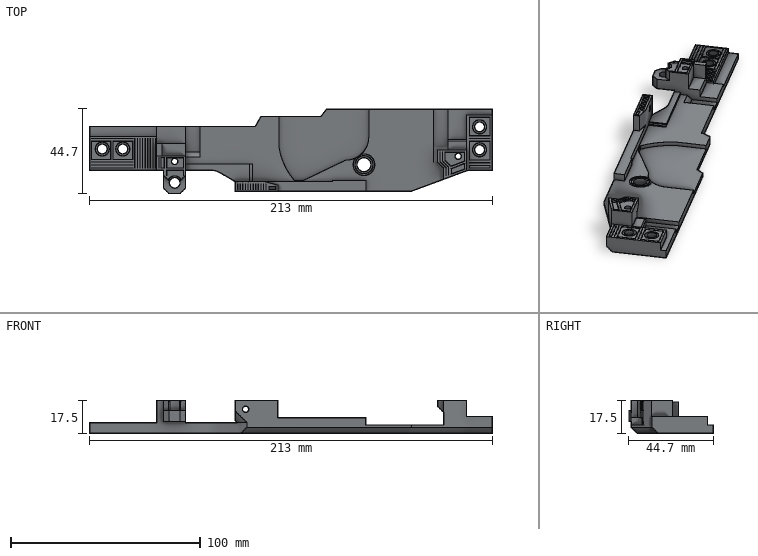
import cadquery as cq
import math

LENGTH = 213.0
WIDTH = 44.7
TOP = 17.5
DECK = 4.5
PLATE = 5.8
LEFT_STRIP = 3.2
STEP = 5.1
SHELF = 8.5
BLOCK_TOP = 9.0
RAIL_TOP = 8.3
POCKET_FLOOR = 2.3
GROOVE_FLOOR = 2.1

FRONT = 1.3
PLATE_FRONT = 12.4
LEFT_BACK = 35.5
MIDDLE_BACK = 41.0
STRIP_FRONT = 30.2
FRONT_CHAMFER = 3.2
BLEND_RADIUS = 9.8

POST_LEFT = 35.4
POST_RIGHT = 50.7
POST_BACK = 20.0
FIN_BACK = 26.5
FIN_TOP = 16.6
FIN_THICKNESS = 3.0
TAB_LEFT = 39.0
TAB_BOTTOM = 6.4
TAB_TOP = 12.1
TAB_CORNER = 3.0
OVERHANG_FRONT = 7.0
OVERHANG_CORNER = 2.8

GROOVE_WIDTH = 7.7
RIGHT_GROOVE = 182.0
LEFT_RAMP = (22.0, 19.4)
RIGHT_RAMP = (24.5, 16.8)
LEDGE_BACK = 15.8
LEDGE_END = 84.5
STEP_END = 86.0

WALL_LEFT = 76.9
WALL_RIGHT = 99.5
RAIL_BACK = 6.4
RAIL_WIDE_BACK = 7.0
RAIL_WIDE_START = 128.5
RAIL_END = 146.1
FACET_RIGHT = 83.0
FACET_LEG = 3.6

HOOK_LEFT = 184.0
HOOK_DEPTH = 3.2
HOOK_BOTTOM = 14.3
HOOK_CORNER_Y = 16.6
HOOK_BACK = 23.2
BLOCK_LEFT = 199.4
BLOCK_BACK = 41.7
RIGHT_SHELF_BACK = 28.5
SHELF_CHAMFER = 0.6

SCREW_DIAMETER = 5.1
TAB_HOLE_DIAMETER = 5.5
PIN_DIAMETER = 3.2
PIVOT_DIAMETER = 7.2
LEFT_SCREWS = [(6.5, 23.6), (17.5, 23.6)]
RIGHT_SCREWS = [(206.2, 35.4), (206.2, 23.2)]
TAB_HOLE = (45.0, 5.8)
PIN_HOLES = [(45.0, 17.0), (195.0, 19.8)]
PIVOT = (145.0, 15.3)
WALL_HOLE_X = 82.5
WALL_HOLE_Z = 12.8

SLIT_WIDTH = 0.1
SLIT_DEPTH = 0.6
SLIT_PITCH = 1.36
SCREW_RING = 7.5
PIVOT_RINGS = [9.5, 11.5]


def block(x0, x1, y0, y1, z0, z1):
    """Box between two opposite corners."""
    return cq.Workplane("XY").box(x1 - x0, y1 - y0, z1 - z0, centered=False).translate((x0, y0, z0))


def prism(points, z0, z1):
    """Vertical prism over a plan outline."""
    return cq.Workplane("XY", origin=(0, 0, z0)).polyline(points).close().extrude(z1 - z0)


def drill(center, diameter):
    """Vertical through-hole cutter."""
    return cq.Workplane("XY").center(*center).circle(diameter / 2).extrude(TOP)


def slit(path, top, closed=False):
    """Narrow slit cutter following straight plan segments in a face at height top."""
    ends = path[1:] + path[:1] if closed else path[1:]
    cutter = cq.Workplane("XY")
    for (xa, ya), (xb, yb) in zip(path, ends):
        run = math.hypot(xb - xa, yb - ya) + SLIT_WIDTH
        angle = math.degrees(math.atan2(yb - ya, xb - xa))
        bar = cq.Workplane("XY").box(run, SLIT_WIDTH, SLIT_DEPTH, centered=(True, True, False))
        bar = bar.rotate((0, 0, 0), (0, 0, 1), angle)
        cutter = cutter.union(bar.translate(((xa + xb) / 2, (ya + yb) / 2, top - SLIT_DEPTH)))
    return cutter


def frame(x0, x1, y0, y1, top):
    """Rectangular slit."""
    return slit([(x0, y0), (x1, y0), (x1, y1), (x0, y1)], top, closed=True)


def ring(center, diameter, top):
    """Circular slit whose outer diameter is given."""
    plane = cq.Workplane("XY", origin=(*center, top - SLIT_DEPTH))
    return plane.circle(diameter / 2).circle(diameter / 2 - SLIT_WIDTH).extrude(SLIT_DEPTH)


LEFT_BEND = (66.7, PLATE_FRONT)
RIGHT_BEND = (200.0, PLATE_FRONT)
OUTLINE = [
    (0, PLATE_FRONT),
    LEFT_BEND,
    (FACET_RIGHT - FACET_LEG, FRONT + FACET_LEG),
    (FACET_RIGHT, FRONT),
    (170.2, FRONT),
    RIGHT_BEND,
    (LENGTH, PLATE_FRONT),
    (LENGTH, WIDTH),
    (125.2, WIDTH),
    (122.3, MIDDLE_BACK),
    (90.5, MIDDLE_BACK),
    (87.5, LEFT_BACK),
    (0, LEFT_BACK),
]


def outline_prism(height):
    """Prism over the whole plan outline."""
    body = prism(OUTLINE, 0, height)
    for bend in (LEFT_BEND, RIGHT_BEND):
        body = body.edges(cq.NearestToPointSelector((*bend, height / 2))).fillet(BLEND_RADIUS)
    return body


def chamfered_envelope():
    """Full-height plan prism with its lower front edges chamfered."""
    along_front = cq.selectors.BoxSelector((FACET_RIGHT, 0, -2.1), (LENGTH + 2.1, PLATE_FRONT + 0.2, 0.2))
    return outline_prism(TOP).faces("<Z").edges(along_front).chamfer(FRONT_CHAMFER)


def make_base():
    """Stacked levels, still without the shaped outline."""
    levels = block(POST_LEFT, LENGTH, 0, WIDTH, 0, DECK)
    levels = levels.union(block(0, POST_LEFT, 0, STRIP_FRONT, 0, PLATE))
    levels = levels.union(block(0, POST_LEFT, STRIP_FRONT, WIDTH, 0, LEFT_STRIP))
    levels = levels.union(block(POST_LEFT, LEDGE_END, 0, LEDGE_BACK, 0, PLATE))
    levels = levels.union(block(LEDGE_END, STEP_END, 0, LEDGE_BACK, 0, STEP))
    levels = levels.union(block(BLOCK_LEFT, LENGTH, 0, BLOCK_BACK, 0, BLOCK_TOP))
    shelf_left = RIGHT_GROOVE + GROOVE_WIDTH
    shelf = block(shelf_left, BLOCK_LEFT, HOOK_BACK, RIGHT_SHELF_BACK, 0, SHELF)
    return levels.union(shelf.faces(">Z").edges(">Y").chamfer(SHELF_CHAMFER))


def make_rail():
    rail = block(FACET_RIGHT, RAIL_END, FRONT, RAIL_BACK, 0, RAIL_TOP)
    return rail.union(block(RAIL_WIDE_START, RAIL_END, FRONT, RAIL_WIDE_BACK, 0, RAIL_TOP))


def make_pocket():
    """Cutter with a curved left side and a slanted, rounded right side."""
    left = 100.1
    left_arc_top = 24.5
    left_arc_middle = (102.9, 15.3)
    tip_left = 108.2
    tip_right = 113.0
    arc_center = (135.3, 30.0)
    arc_radius = 12.4
    arc_right = arc_center[0] + arc_radius
    corner = (arc_center[0], arc_center[1] - arc_radius)
    diagonal = arc_radius * math.sqrt(0.5)
    arc_middle = (arc_center[0] + diagonal, arc_center[1] - diagonal)
    return (
        cq.Workplane("XY", origin=(0, 0, POCKET_FLOOR))
        .moveTo(left, WIDTH)
        .lineTo(left, left_arc_top)
        .threePointArc(left_arc_middle, (tip_left, RAIL_WIDE_BACK))
        .lineTo(tip_right, RAIL_WIDE_BACK)
        .lineTo(*corner)
        .threePointArc(arc_middle, (arc_right, arc_center[1]))
        .lineTo(arc_right, WIDTH)
        .close()
        .extrude(DECK - POCKET_FLOOR)
    )


def make_groove(left, ramp_foot, ramp_top):
    """Cross groove from the back edge, ending in a ramp up to the deck."""
    profile = [
        (WIDTH, GROOVE_FLOOR),
        (ramp_foot, GROOVE_FLOOR),
        (ramp_top, DECK),
        (WIDTH, DECK),
    ]
    return cq.Workplane("YZ", origin=(left, 0, 0)).polyline(profile).close().extrude(GROOVE_WIDTH)


def make_left_post():
    post = block(POST_LEFT, POST_RIGHT, PLATE_FRONT, POST_BACK, 0, TOP)
    post = post.union(block(POST_LEFT, POST_LEFT + FIN_THICKNESS, POST_BACK, FIN_BACK, 0, FIN_TOP))
    post = post.union(block(POST_LEFT, POST_RIGHT, POST_BACK, FIN_BACK, 0, SHELF))
    post = post.union(nose(0, TAB_CORNER, TAB_BOTTOM, TAB_TOP))
    return post.union(nose(OVERHANG_FRONT, OVERHANG_CORNER, TAB_TOP, TOP))


def nose(front, corner, z0, z1):
    """Slab reaching forward from the post, with two cut corners."""
    points = [
        (TAB_LEFT, POST_BACK),
        (TAB_LEFT, front + corner),
        (TAB_LEFT + corner, front),
        (POST_RIGHT - corner, front),
        (POST_RIGHT, front + corner),
        (POST_RIGHT, POST_BACK),
    ]
    return prism(points, z0, z1)


WALL_TAPER_START = 92.7
WALL_END_BACK = 4.5


def make_wall():
    points = [
        (WALL_LEFT, FRONT),
        (WALL_RIGHT, FRONT),
        (WALL_RIGHT, WALL_END_BACK),
        (WALL_TAPER_START, RAIL_BACK),
        (WALL_LEFT, RAIL_BACK),
    ]
    wall = prism(points, PLATE, TOP)
    undercut_plane = cq.Plane(origin=(FACET_RIGHT, FRONT, PLATE), xDir=(1, -1, 0), normal=(-1, -1, -1))
    wall = wall.cut(cq.Workplane(undercut_plane).rect(LENGTH, LENGTH).extrude(WIDTH))
    hole = cq.Workplane("XZ", origin=(WALL_HOLE_X, RAIL_BACK, WALL_HOLE_Z)).circle(PIN_DIAMETER / 2)
    return wall.cut(hole.extrude(RAIL_BACK))


def make_right_post():
    stem = HOOK_LEFT + HOOK_DEPTH
    points = [
        (HOOK_LEFT, HOOK_BACK),
        (HOOK_LEFT, HOOK_CORNER_Y),
        (stem, HOOK_CORNER_Y - HOOK_DEPTH),
        (stem, FRONT),
        (BLOCK_LEFT, FRONT),
        (BLOCK_LEFT, HOOK_BACK),
    ]
    undercut = [
        (HOOK_LEFT, 0),
        (stem, 0),
        (stem, HOOK_BOTTOM - HOOK_DEPTH),
        (HOOK_LEFT, HOOK_BOTTOM),
    ]
    cutter = cq.Workplane("XZ", origin=(0, WIDTH, 0)).polyline(undercut).close().extrude(WIDTH)
    return prism(points, 0, TOP).cut(cutter)


def left_plate_slits():
    left = 0.9
    right = 22.8
    front = 13.6
    back = 29.2
    cutters = [frame(x0, x1, 18.0, 27.7, PLATE) for x0, x1 in ((left, 11.0), (12.4, right))]
    for y in (front, 15.1, 16.8, back):
        cutters.append(slit([(left, y), (right, y)], PLATE))
    first_cross_slit = 23.9
    cross_slit_count = 9
    for i in range(cross_slit_count):
        x = first_cross_slit + i * SLIT_PITCH
        cutters.append(slit([(x, front), (x, back)], PLATE))
    return cutters + [ring(center, SCREW_RING, PLATE) for center in LEFT_SCREWS]


def left_post_slits():
    return [
        slit([(36.6, 13.6), (36.6, 19.2)], TOP),
        frame(37.7, 39.5, 13.6, 19.2, TOP),
        frame(40.7, 49.6, 13.6, 19.0, TOP),
        slit([(40.7, 9.5), (40.7, 12.4), (49.6, 12.4), (49.6, 9.5)], TOP),
        ring(TAB_HOLE, SCREW_RING, TOP),
    ]


def wall_slits():
    front = 2.3
    back = 5.1
    slit_count = 12
    cutters = [frame(94.8, 98.5, front, 3.6, TOP)]
    for i in range(slit_count):
        x = WALL_LEFT + (i + 1) * SLIT_PITCH
        cutters.append(slit([(x, front), (x, back)], TOP))
    return cutters


def right_post_slits():
    return [
        slit([(185.3, 22.0), (185.3, 16.8), (188.5, 13.6), (188.5, 9.5)], TOP),
        slit([(186.5, 22.0), (186.5, 17.3), (189.8, 14.0), (189.8, 10.0)], TOP),
        slit([(187.9, 22.0), (198.3, 22.0), (198.3, 17.3), (191.0, 14.5), (187.9, 17.7)], TOP, closed=True),
        slit([(191.3, 13.2), (198.3, 16.0), (198.3, 13.0), (191.3, 10.5)], TOP, closed=True),
    ]


def right_block_slits():
    x0 = 200.9
    x1 = 211.7
    cutters = [frame(x0, x1, y0, y1, BLOCK_TOP) for y0, y1 in ((30.7, 40.5), (17.9, 27.7), (13.6, 15.0))]
    for y in (16.5, 29.2):
        cutters.append(slit([(x0, y), (x1, y)], BLOCK_TOP))
    return cutters + [ring(center, SCREW_RING, BLOCK_TOP) for center in RIGHT_SCREWS]


body = make_base().union(make_rail())
body = body.cut(make_pocket())
body = body.cut(make_groove(POST_RIGHT, *LEFT_RAMP))
body = body.cut(make_groove(RIGHT_GROOVE, *RIGHT_RAMP))
body = body.union(make_right_post()).intersect(chamfered_envelope())
body = body.union(make_wall()).union(make_left_post())

for center in LEFT_SCREWS + RIGHT_SCREWS:
    body = body.cut(drill(center, SCREW_DIAMETER))
for center in PIN_HOLES:
    body = body.cut(drill(center, PIN_DIAMETER))
body = body.cut(drill(TAB_HOLE, TAB_HOLE_DIAMETER))
body = body.cut(drill(PIVOT, PIVOT_DIAMETER))

slit_cutters = left_plate_slits() + left_post_slits() + wall_slits() + right_post_slits() + right_block_slits()
slit_cutters += [ring(PIVOT, diameter, DECK) for diameter in PIVOT_RINGS]
for cutter in slit_cutters:
    body = body.cut(cutter)

result = body